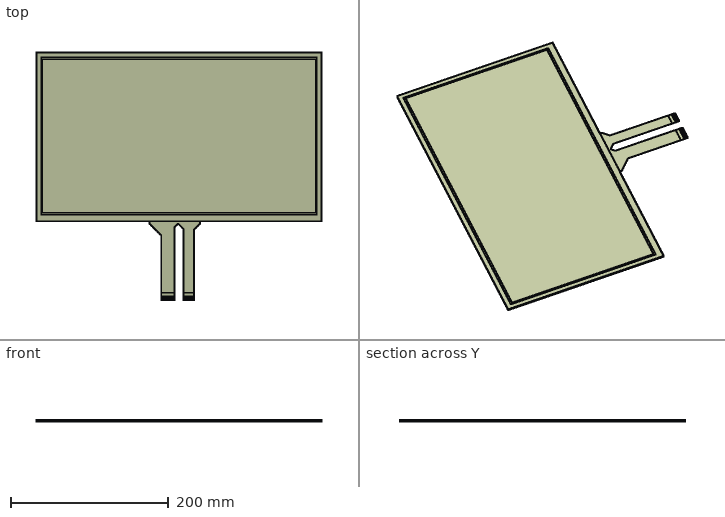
import cadquery as cq

length = 361.5
total_depth = 314.5
thickness = 2.2
tail_length = 100.0
panel_depth = total_depth - tail_length

side_border = 5.8
front_border = 8.5
back_border = 6.0
side_groove_width = 1.8
end_groove_width = 2.5
groove_depth = 0.18

tail_bottom = 1.5
tail_thickness = 0.5
left_tail = (-22.8, -5.5)
right_tail = (5.5, 19.0)
left_root_x = -37.5
crotch_x = -1.0
right_root_x = 26.7
root_depth = 3.0

land_length = 9.8
land_depth = 0.15
contact_length = 5.0
contact_pitch = 1.0
contact_width = contact_pitch / 2

tail_top = tail_bottom + tail_thickness
tail_end = -tail_length


def block(x_range, y_range, z_range):
    """Box spanning the given X, Y and Z ranges."""
    ranges = (x_range, y_range, z_range)
    size = [high - low for low, high in ranges]
    corner = tuple(low for low, high in ranges)
    return cq.Workplane("XY").box(*size, centered=False).translate(corner)


def groove_layer(side_inset, front_inset, back_inset):
    """Rectangle inset from the panel edges, as deep as the groove."""
    half_length = length / 2 - side_inset
    return block(
        (-half_length, half_length),
        (front_inset, panel_depth - back_inset),
        (thickness - groove_depth, thickness),
    )


def make_panel():
    panel = block((-length / 2, length / 2), (0, panel_depth), (0, thickness))
    outer = groove_layer(side_border, front_border, back_border)
    inner = groove_layer(
        side_border + side_groove_width,
        front_border + end_groove_width,
        back_border + end_groove_width,
    )
    return panel.cut(outer.cut(inner))


def shoulder(tail_x, root_x):
    """Point where a 45 degree flare from the root meets the side of a tail."""
    return (tail_x, -root_depth - abs(tail_x - root_x))


def make_tails():
    left_outer, left_inner = left_tail
    right_inner, right_outer = right_tail
    outline = [
        (left_root_x, 0),
        (left_root_x, -root_depth),
        shoulder(left_outer, left_root_x),
        (left_outer, tail_end),
        (left_inner, tail_end),
        shoulder(left_inner, crotch_x),
        (crotch_x, -root_depth),
        shoulder(right_inner, crotch_x),
        (right_inner, tail_end),
        (right_outer, tail_end),
        shoulder(right_outer, right_root_x),
        (right_root_x, -root_depth),
        (right_root_x, 0),
    ]
    return cq.Workplane("XY", origin=(0, 0, tail_bottom)).polyline(outline).close().extrude(tail_thickness)


def connector_recess(tail):
    """Material to remove from a tail end, leaving the fingers flush with its top."""
    land_z = (tail_top - land_depth, tail_top)
    recess = block(tail, (tail_end, tail_end + land_length), land_z)
    count = int((tail[1] - tail[0]) / contact_pitch)
    first_x = (tail[0] + tail[1] - (count - 1) * contact_pitch) / 2
    for i in range(count):
        x = first_x + i * contact_pitch
        finger_x = (x - contact_width / 2, x + contact_width / 2)
        recess = recess.cut(block(finger_x, (tail_end, tail_end + contact_length), land_z))
    return recess


result = make_panel().union(make_tails())
for tail in (left_tail, right_tail):
    result = result.cut(connector_recess(tail))